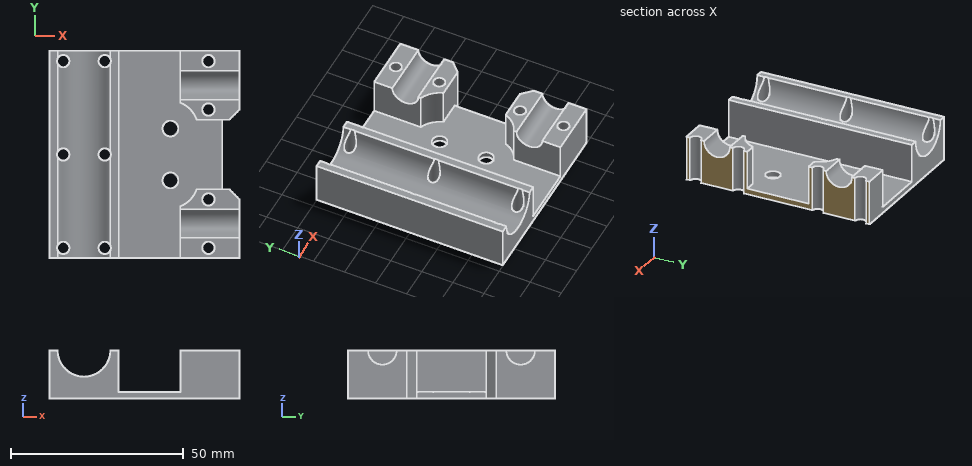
import cadquery as cq

length = 55.0
width = 60.0
height = 14.0
floor_thickness = 2.0

rail_width = 20.0
rail_axis_x = rail_width / 2
rail_cradle_radius = 7.6
rail_hole_offset_x = 6.0

block_length = 17.15
block_width = 20.0
block_start_x = length - block_length
block_axis_y = (width - block_width) / 2
block_cradle_radius = 4.15
block_chamfer = 3.0
block_hole_x = length - 9.0
block_hole_offset_y = 7.0

opening_depth = 5.0
opening_width = width - 2 * block_width

screw_diameter = 3.5
edge_hole_inset = 3.0
rail_end_hole_y = width / 2 - edge_hole_inset
mount_diameter = 4.5
mount_x = 35.0
mount_y = 7.5
mount_clearance_radius = 8.0


def box(x_start, y_start, size_x, size_y, size_z):
    """Box standing on the underside plane with its lower corner at the given point."""
    return cq.Workplane("XY").box(size_x, size_y, size_z, centered=False).translate((x_start, y_start, 0))


def vertical_holes(points, diameter):
    """Cylinders through the full height at each point."""
    return cq.Workplane("XY").pushPoints(points).circle(diameter / 2).extrude(height)


def make_base():
    floor = box(0, -width / 2, length, width, floor_thickness)
    rail = box(0, -width / 2, rail_width, width, height)
    opening = box(length - opening_depth, -opening_width / 2, opening_depth, opening_width, height)
    cradle = (
        cq.Workplane("XZ", origin=(0, width / 2, 0))
        .center(rail_axis_x, height)
        .circle(rail_cradle_radius)
        .extrude(width)
    )
    return floor.union(rail).cut(opening).cut(cradle)


def make_block(side):
    """Full-height bearing block at the +Y (side = 1) or -Y (side = -1) edge."""
    axis_y = side * block_axis_y
    block = box(block_start_x, axis_y - block_width / 2, block_length, block_width, height)
    cradle = (
        cq.Workplane("YZ")
        .workplane(offset=block_start_x)
        .center(axis_y, height)
        .circle(block_cradle_radius)
        .extrude(block_length)
    )
    return block.cut(cradle)


def mount_clearance(side):
    """Round clearance above the floor for the mounting screw head beside a block."""
    return (
        cq.Workplane("XY")
        .workplane(offset=floor_thickness)
        .center(mount_x, side * mount_y)
        .circle(mount_clearance_radius)
        .extrude(height - floor_thickness)
    )


def corner_chamfer(side):
    """Triangular prism that bevels a block's inner corner through the full height."""
    inner_y = side * opening_width / 2
    return (
        cq.Workplane("XY")
        .moveTo(length, inner_y)
        .lineTo(length - block_chamfer, inner_y)
        .lineTo(length, inner_y + side * block_chamfer)
        .close()
        .extrude(height)
    )


rail_hole_points = [
    (rail_axis_x + x_side * rail_hole_offset_x, y)
    for x_side in (-1, 1)
    for y in (-rail_end_hole_y, 0, rail_end_hole_y)
]
block_hole_points = [
    (block_hole_x, side * block_axis_y + offset)
    for side in (-1, 1)
    for offset in (-block_hole_offset_y, block_hole_offset_y)
]
mount_points = [(mount_x, side * mount_y) for side in (-1, 1)]

result = make_base()
for side in (-1, 1):
    result = result.union(make_block(side))
    result = result.cut(mount_clearance(side)).cut(corner_chamfer(side))
result = result.cut(vertical_holes(rail_hole_points + block_hole_points, screw_diameter))
result = result.cut(vertical_holes(mount_points, mount_diameter))